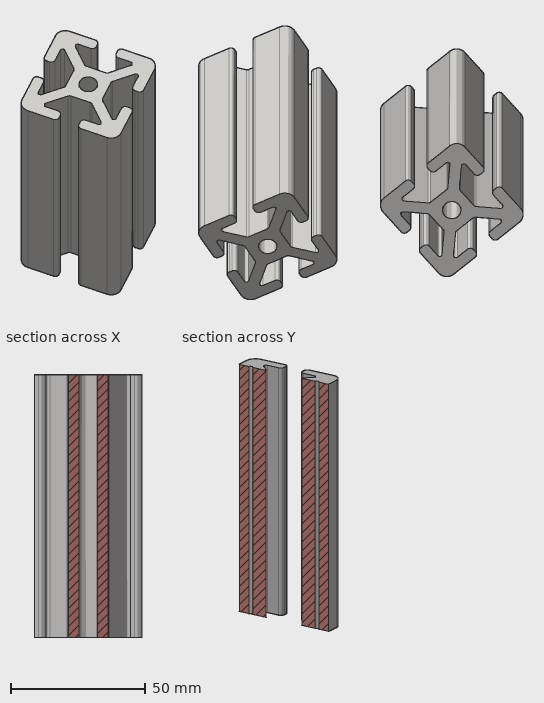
import cadquery as cq

length = 97.8
side = 40.0
corner_radius = 4.0
slot_opening = 8.0
lip_thickness = 4.3
lip_radius = 1.6
core_width = 15.0
web_thickness = 4.3
pocket_corner_radius = 0.9
floor_corner_radius = 1.3
bore_diameter = 6.8

half_side = side / 2
half_opening = slot_opening / 2
half_core = core_width / 2
lip_inner = half_side - lip_thickness
web_offset = web_thickness / 2 ** 0.5
half_floor = half_core - web_offset
half_pocket = lip_inner - web_offset


def rounded_bar():
    """Solid square bar with rounded long edges."""
    bar = cq.Workplane("XY").rect(side, side).extrude(length)
    return bar.edges("|Z").fillet(corner_radius)


def slot_pocket():
    """Trapezoidal cavity behind the lips on the +Y side, with rounded corners."""
    pocket = (
        cq.Workplane("XY")
        .moveTo(-half_floor, half_core)
        .lineTo(half_floor, half_core)
        .lineTo(half_pocket, lip_inner)
        .lineTo(-half_pocket, lip_inner)
        .close()
        .extrude(length)
    )
    pocket = pocket.edges("|Z and >Y").fillet(pocket_corner_radius)
    return pocket.edges("|Z and <Y").fillet(floor_corner_radius)


def slot_mouth():
    """Straight opening between the lips on the +Y side."""
    return (
        cq.Workplane("XY")
        .center(0, lip_inner + lip_thickness / 2)
        .rect(slot_opening, lip_thickness)
        .extrude(length)
    )


def round_lips(profile):
    """Round the inner and outer long edges of all eight lips."""
    for lip_face in (half_side, lip_inner):
        for sign_a in (-1, 1):
            for sign_b in (-1, 1):
                across = sign_a * half_opening
                outward = sign_b * lip_face
                for x, y in ((across, outward), (outward, across)):
                    nearest = cq.selectors.NearestToPointSelector((x, y, length / 2))
                    profile = profile.edges("|Z").edges(nearest).fillet(lip_radius)
    return profile


slot = slot_pocket().union(slot_mouth())

profile = rounded_bar()
for quarter_turn in range(4):
    profile = profile.cut(slot.rotate((0, 0, 0), (0, 0, 1), 90 * quarter_turn))

profile = round_lips(profile)

bore = cq.Workplane("XY").circle(bore_diameter / 2).extrude(length)
result = profile.cut(bore)